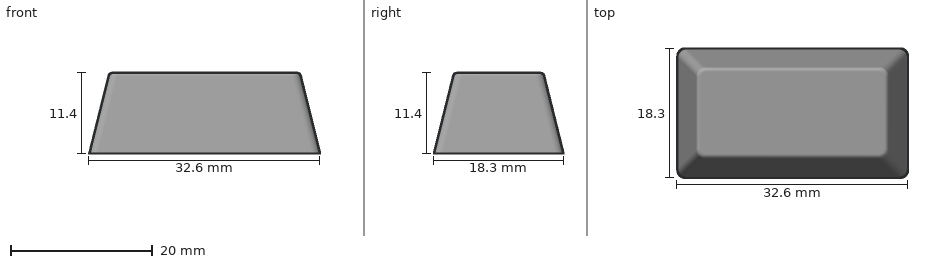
import cadquery as cq

length = 32.6
width = 18.3
height = 11.4

draft_angle = 14.0

corner_radius = 1.27
top_edge_radius = 0.62


def tapered_block():
    """Solid block on the XY plane with four equally drafted walls."""
    return cq.Workplane("XY").rect(length, width).extrude(height, taper=draft_angle)


def round_corners(block):
    """Round the four slanted edges where neighbouring walls meet."""
    slanted_edges = "not(#Z)"
    return block.edges(slanted_edges).fillet(corner_radius)


def round_top(block):
    """Round the rim between the walls and the flat top."""
    return block.faces(">Z").edges().fillet(top_edge_radius)


result = round_top(round_corners(tapered_block()))